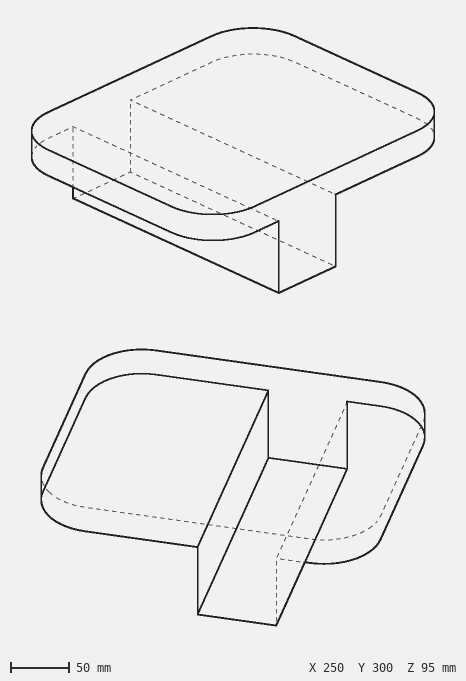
import cadquery as cq

plate_width = 250.0
plate_length = 300.0
corner_radius = 50.0

rail_side = 70.0

overall_height = 95.0
plate_thickness = overall_height - rail_side


def make_plate():
    """Slab centred on the origin with its underside at Z = 0."""
    slab = cq.Workplane("XY").box(
        plate_width, plate_length, plate_thickness, centered=(True, True, False)
    )
    return slab.edges("|Z").fillet(corner_radius)


def make_rail():
    """Bar hanging below the plate, its +Y face on the plate's mid-plane."""
    bar = cq.Workplane("XY").box(
        plate_width, rail_side, rail_side, centered=(True, False, False)
    )
    return bar.translate((0, -rail_side, -rail_side))


result = make_plate().union(make_rail())